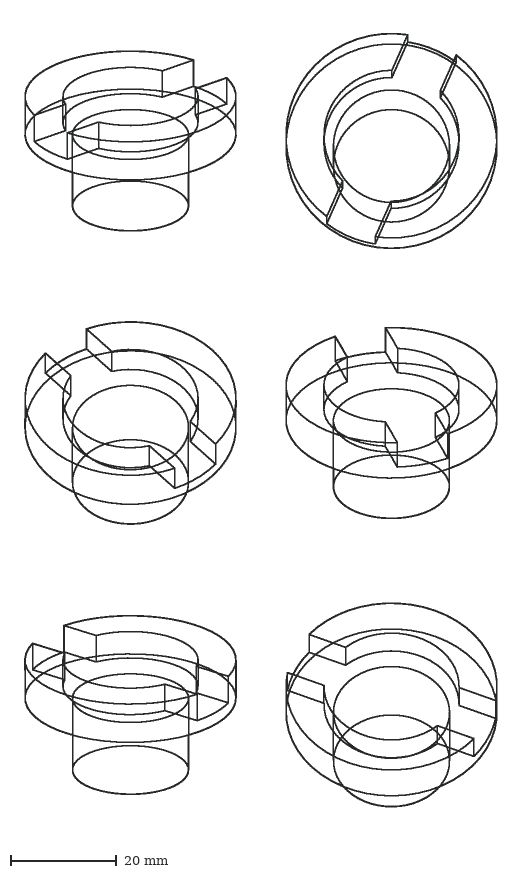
import cadquery as cq

flange_diameter = 40
flange_height = 8
stem_diameter = 22
stem_length = 15.0
recess_diameter = 25.6
recess_depth = 5.5
slot_width = 10

recess_floor = flange_height - recess_depth


def make_body():
    """Round flange standing on Z = 0 with a solid stem below it."""
    flange = cq.Workplane("XY").circle(flange_diameter / 2).extrude(flange_height)
    stem = cq.Workplane("XY").circle(stem_diameter / 2).extrude(-stem_length)
    return flange.union(stem)


def make_recess():
    """Round pocket crossed by a slot along Y, both sharing one floor."""
    floor = cq.Workplane("XY").workplane(offset=recess_floor)
    pocket = floor.circle(recess_diameter / 2).extrude(recess_depth)
    slot = floor.rect(slot_width, flange_diameter).extrude(recess_depth)
    return pocket.union(slot)


result = make_body().cut(make_recess())